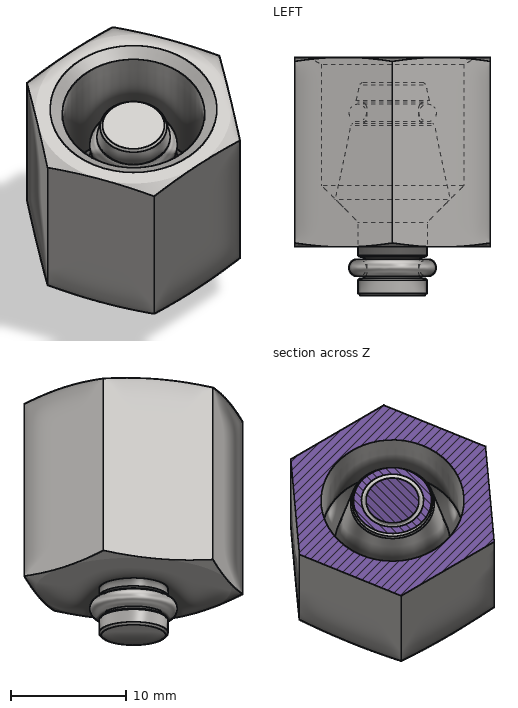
import cadquery as cq
import math

TOTAL_HEIGHT = 20.7
STEM_PROJECTION = 4.22

ACROSS_FLATS = 17.0
HEX_CHAMFER_ANGLE = 15.0
BORE_RADIUS = 12.37 / 2
COUNTERSINK_RADIUS = 7.25
COUNTERSINK_SLOPE = 30.0

STEM_RADIUS = 6.0 / 2
STEM_CHAMFER = 0.2
NOSE_HEIGHT = 18.52
NOSE_RADIUS = 2.9
NOSE_CHAMFER = 0.2
CONE_HALF_ANGLE = 12.0
CONE_BASE_RADIUS = 5.0

GROOVE_FLOOR_RADIUS = 4.5 / 2
GROOVE_WIDTH = 1.86
LIP_CHAMFER = 0.15
GROOVE_FILLET = 0.54
STEM_GROOVE_CENTER = 2.42
CONE_GROOVE_CENTER = 15.9

RING_SECTION_RADIUS = 1.51 / 2
RING_OUTER_RADIUS = 7.6 / 2

cone_slope = math.tan(math.radians(CONE_HALF_ANGLE))
cone_top = NOSE_HEIGHT - NOSE_CHAMFER
cone_base = cone_top - (CONE_BASE_RADIUS - NOSE_RADIUS) / cone_slope
seat_bottom = cone_base - (CONE_BASE_RADIUS - STEM_RADIUS)
seat_top = cone_base + (BORE_RADIUS - CONE_BASE_RADIUS)


def cone_radius(z):
    """Radius of the sealing cone at height z."""
    return NOSE_RADIUS + (cone_top - z) * cone_slope


def stem_radius(z):
    """Radius of the cylindrical stem, the same at every height."""
    return STEM_RADIUS


def revolve(points):
    """Turn a closed (radius, height) outline about the Z axis."""
    return cq.Workplane("XZ").polyline(points).close().revolve(360, (0, 0), (0, 1))


def make_nut():
    corner_radius = ACROSS_FLATS / 2 / math.cos(math.radians(30))
    flat_radius = ACROSS_FLATS / 2
    nut_height = TOTAL_HEIGHT - STEM_PROJECTION
    chamfer_drop = (corner_radius - flat_radius) * math.tan(math.radians(HEX_CHAMFER_ANGLE))
    countersink_depth = (COUNTERSINK_RADIUS - BORE_RADIUS) * math.tan(math.radians(COUNTERSINK_SLOPE))

    hexagon = (
        cq.Workplane("XY")
        .workplane(offset=STEM_PROJECTION)
        .polygon(6, 2 * corner_radius)
        .extrude(nut_height)
    )
    blank = revolve([
        (0, STEM_PROJECTION),
        (flat_radius, STEM_PROJECTION),
        (corner_radius, STEM_PROJECTION + chamfer_drop),
        (corner_radius, TOTAL_HEIGHT - chamfer_drop),
        (flat_radius, TOTAL_HEIGHT),
        (0, TOTAL_HEIGHT),
    ])
    cavity = revolve([
        (0, STEM_PROJECTION),
        (STEM_RADIUS, STEM_PROJECTION),
        (STEM_RADIUS, seat_bottom),
        (BORE_RADIUS, seat_top),
        (BORE_RADIUS, TOTAL_HEIGHT - countersink_depth),
        (COUNTERSINK_RADIUS, TOTAL_HEIGHT),
        (0, TOTAL_HEIGHT),
    ])
    return hexagon.intersect(blank).cut(cavity)


def make_groove_cutter(center, surface_radius):
    """Ring groove with chamfered lips and rounded floor corners."""
    bottom = center - GROOVE_WIDTH / 2
    top = center + GROOVE_WIDTH / 2
    lower_lip = bottom - LIP_CHAMFER
    upper_lip = top + LIP_CHAMFER
    fillet_edge = GROOVE_FLOOR_RADIUS + GROOVE_FILLET
    arc_inset = GROOVE_FILLET * (1 - math.sqrt(0.5))
    arc_middle = GROOVE_FLOOR_RADIUS + arc_inset
    return (
        cq.Workplane("XZ")
        .moveTo(surface_radius(lower_lip), lower_lip)
        .lineTo(surface_radius(lower_lip) - LIP_CHAMFER, bottom)
        .lineTo(fillet_edge, bottom)
        .threePointArc((arc_middle, bottom + arc_inset), (GROOVE_FLOOR_RADIUS, bottom + GROOVE_FILLET))
        .lineTo(GROOVE_FLOOR_RADIUS, top - GROOVE_FILLET)
        .threePointArc((arc_middle, top - arc_inset), (fillet_edge, top))
        .lineTo(surface_radius(upper_lip) - LIP_CHAMFER, top)
        .lineTo(surface_radius(upper_lip), upper_lip)
        .close()
        .revolve(360, (0, 0), (0, 1))
    )


def make_plug():
    plug = revolve([
        (0, 0),
        (STEM_RADIUS - STEM_CHAMFER, 0),
        (STEM_RADIUS, STEM_CHAMFER),
        (STEM_RADIUS, seat_bottom),
        (CONE_BASE_RADIUS, cone_base),
        (NOSE_RADIUS, cone_top),
        (NOSE_RADIUS - NOSE_CHAMFER, NOSE_HEIGHT),
        (0, NOSE_HEIGHT),
    ])
    for center, surface_radius in ((STEM_GROOVE_CENTER, stem_radius), (CONE_GROOVE_CENTER, cone_radius)):
        plug = plug.cut(make_groove_cutter(center, surface_radius))
    return plug


def make_o_ring(groove_center):
    """O-ring centered in its groove."""
    ring_radius = RING_OUTER_RADIUS - RING_SECTION_RADIUS
    return (
        cq.Workplane("XZ")
        .moveTo(ring_radius, groove_center)
        .circle(RING_SECTION_RADIUS)
        .revolve(360, (0, 0), (0, 1))
    )


nut = make_nut()
plug = make_plug()
o_rings = [make_o_ring(center) for center in (STEM_GROOVE_CENTER, CONE_GROOVE_CENTER)]

result = cq.Compound.makeCompound([nut.val(), plug.val(), *[ring.val() for ring in o_rings]])